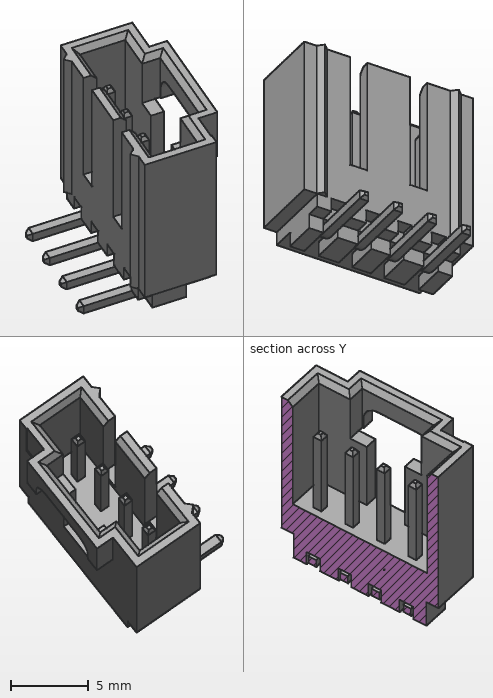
import cadquery as cq


shroud_width = 12.6
shroud_depth = 5.09
shroud_bottom = 2.08
top = 13.58
wall = 0.94
side_wall = 0.92
floor_level = 4.69
rim_chamfer = 0.4

key_half_width = 3.76
key_cavity_half_width = 2.87
key_back = 6.37
key_wall = 0.92
key_bottom = 9.78
key_window_half_width = 2.75
key_window_top = 11.8
key_window_radius = 1.15

slot_inner = 1.59
slot_outer = key_cavity_half_width
slot_bottom = 5.2
back_gap_half_width = 1.53

recess_outer = 5.57
recess_depth = 0.07

ridge_x = 5.0
ridge_height = 0.4

base_half_width = 5.34
base_bottom = 1.07
feet_front = 1.0
feet_back = 3.42
pin_channels = [(-4.28, -3.2), (-1.7, -0.69), (0.69, 1.7), (3.2, 4.28)]

pin_count = 4
pin_pitch = 2.54
pin_size = 0.64
pin_y = 2.24
pin_z = 0.5
pin_top = 11.16
pin_front = -3.6
pin_tip_length = 0.3
pin_tip_size = 0.27
bend_inner_radius = 0.64


def box(x_min, x_max, y_min, y_max, z_min, z_max):
    size = (x_max - x_min, y_max - y_min, z_max - z_min)
    return cq.Workplane("XY").box(*size, centered=False).translate((x_min, y_min, z_min))


def wide_box(half_width, y_min, y_max, z_min, z_max):
    """Box placed evenly about X = 0."""
    return box(-half_width, half_width, y_min, y_max, z_min, z_max)


def rim_taper(half_width, y_min, y_max):
    """Funnel that widens a rectangular opening by the rim chamfer at the top."""
    width = 2 * half_width
    depth = y_max - y_min
    return (
        cq.Workplane("XY", origin=(0, (y_min + y_max) / 2, top - rim_chamfer))
        .rect(width, depth)
        .workplane(offset=rim_chamfer)
        .rect(width + 2 * rim_chamfer, depth + 2 * rim_chamfer)
        .loft(ruled=True)
    )


def make_ridge(x):
    return (
        cq.Workplane("XY", origin=(x, 0, shroud_bottom))
        .polyline([(-ridge_height, 0), (0, -ridge_height), (ridge_height, 0)])
        .close()
        .extrude(top - shroud_bottom)
    )


def make_shroud():
    body = wide_box(shroud_width / 2, 0, shroud_depth, shroud_bottom, top)
    body = body.union(wide_box(key_half_width, shroud_depth, key_back, key_bottom, top))

    cavity_half_width = shroud_width / 2 - side_wall
    cavity_back = shroud_depth - wall
    key_cavity_back = key_back - key_wall
    body = body.cut(wide_box(cavity_half_width, wall, cavity_back, floor_level, top))
    body = body.cut(wide_box(key_cavity_half_width, wall, key_cavity_back, key_bottom, top))
    body = body.cut(rim_taper(cavity_half_width, wall, cavity_back))
    body = body.cut(rim_taper(key_cavity_half_width, wall + rim_chamfer, key_cavity_back))

    body = body.cut(wide_box(back_gap_half_width, cavity_back, shroud_depth, floor_level, key_bottom))

    window = wide_box(key_window_half_width, key_cavity_back, key_back, key_bottom, key_window_top)
    body = body.cut(window.edges("|Y and >Z").fillet(key_window_radius))

    for x_min, x_max in [(-slot_outer, -slot_inner), (slot_inner, slot_outer)]:
        body = body.cut(box(x_min, x_max, 0, wall, slot_bottom, top))
    recess_front = shroud_depth - recess_depth
    body = body.cut(box(key_half_width, recess_outer, recess_front, shroud_depth, key_bottom, top))

    for x in (-ridge_x, ridge_x):
        body = body.union(make_ridge(x))
    return body


def make_base():
    base = wide_box(base_half_width, 0, shroud_depth, base_bottom, shroud_bottom)
    base = base.union(wide_box(base_half_width, feet_front, feet_back, 0, base_bottom))
    for x_min, x_max in pin_channels:
        base = base.cut(box(x_min, x_max, feet_front, feet_back, 0, base_bottom))
        base = base.cut(box(x_min, x_max, 0, feet_front, base_bottom, shroud_bottom))
    return base


def make_pin_leg(plane, length):
    """Square bar drawn out along the plane normal, ending in a tapered tip."""
    bar = cq.Workplane(plane).rect(pin_size, pin_size).extrude(length - pin_tip_length)
    tip = (
        cq.Workplane(plane)
        .workplane(offset=length - pin_tip_length)
        .rect(pin_size, pin_size)
        .workplane(offset=pin_tip_length)
        .rect(pin_tip_size, pin_tip_size)
        .loft(ruled=True)
    )
    return bar.union(tip)


def make_pin(x):
    half = pin_size / 2
    bend_bottom = pin_z - half
    contact_leg = make_pin_leg(cq.Plane.XY((x, pin_y, bend_bottom)), pin_top - bend_bottom)
    tail_leg = make_pin_leg(cq.Plane.XZ((x, pin_y, pin_z)), pin_y - pin_front)

    inner_corner = (x, pin_y - half, pin_z + half)
    outer_corner = (x, pin_y + half, bend_bottom)
    pin = contact_leg.union(tail_leg)
    pin = pin.edges(cq.selectors.NearestToPointSelector(inner_corner)).fillet(bend_inner_radius)
    return pin.edges(cq.selectors.NearestToPointSelector(outer_corner)).fillet(bend_inner_radius + pin_size)


result = make_shroud().union(make_base())
for index in range(pin_count):
    result = result.union(make_pin((index - (pin_count - 1) / 2) * pin_pitch))